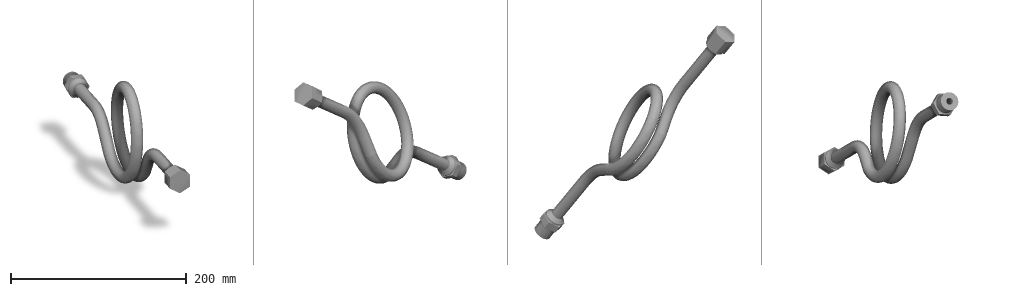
import cadquery as cq
import math

OVERALL_LENGTH = 360.0
COIL_OFFSET = 2.8
MALE_END = -OVERALL_LENGTH / 2 - COIL_OFFSET
FEMALE_END = OVERALL_LENGTH / 2 - COIL_OFFSET

TUBE_DIAMETER = 14.0
COIL_RADIUS = 51.35
COIL_PITCH = 16.0
COIL_TURNS = 1.25
COIL_START_ANGLE = 225.0
BEND_RADIUS = 50.0
LEG_SPACING = 18.97
LEG_Y = LEG_SPACING / 2
TRIM_LENGTH = 5.0
MALE_CORNER_X = -73.7
FEMALE_CORNER_X = 65.6

HEX_FLATS = 24.0
COLLAR_DIAMETER = 23.0
COLLAR_LENGTH = 2.5
CONE_END_DIAMETER = 15.0
CONE_LENGTH = (COLLAR_DIAMETER - CONE_END_DIAMETER) / 2
THREAD_DIAMETER = 20.95
THREAD_LENGTH = 16.0
MALE_HEX_LENGTH = 9.0
MALE_BORE = 8.0
FEMALE_HEX_LENGTH = 20.5

MALE_TUBE_END = MALE_END + THREAD_LENGTH + MALE_HEX_LENGTH + COLLAR_LENGTH + CONE_LENGTH
FEMALE_TUBE_END = FEMALE_END - FEMALE_HEX_LENGTH - COLLAR_LENGTH - CONE_LENGTH


def coil_point(turns):
    """Point on the coil centreline after the given number of turns."""
    angle = math.radians(COIL_START_ANGLE + 360 * turns)
    return cq.Vector(
        COIL_RADIUS * math.cos(angle),
        -LEG_Y + COIL_PITCH * turns,
        COIL_RADIUS * math.sin(angle),
    )


def leg_wire(end, corner, coil_end):
    """Straight run, bend and slanted run from a fitting to just past the coil end."""
    outward = (end - corner).normalized()
    inward = (coil_end - corner).normalized()
    half_angle = outward.getAngle(inward) / 2
    setback = BEND_RADIUS / math.tan(half_angle)
    bisector = (outward + inward).normalized()
    bend_middle = corner + bisector * (BEND_RADIUS / math.sin(half_angle) - BEND_RADIUS)
    bend_start = corner + outward * setback
    bend_end = corner + inward * setback
    run_end = coil_end + inward * TRIM_LENGTH
    return cq.Wire.assembleEdges([
        cq.Edge.makeLine(end, bend_start),
        cq.Edge.makeThreePointArc(bend_start, bend_middle, bend_end),
        cq.Edge.makeLine(bend_end, run_end),
    ])


def round_sweep(path):
    """Tube-sized round rod along a path."""
    start = cq.Plane(origin=path.startPoint(), normal=path.tangentAt(0))
    profile = cq.Workplane(start).circle(TUBE_DIAMETER / 2)
    return profile.sweep(cq.Workplane(path), isFrenet=True)


def coil_path():
    """Left-handed helix climbing along +Y."""
    helix = cq.Wire.makeHelix(
        COIL_PITCH, COIL_PITCH * COIL_TURNS, COIL_RADIUS, lefthand=True
    )
    laid_down = helix.rotate(cq.Vector(), cq.Vector(1, 0, 0), -90)
    turned = laid_down.rotate(cq.Vector(), cq.Vector(0, 1, 0), -COIL_START_ANGLE)
    return turned.translate(cq.Vector(0, -LEG_Y, 0))


def leg_tube(end, corner, turns, into_coil):
    """Leg from a fitting to the coil, cut flush with the coil's end face.

    into_coil is 1 where the coil climbs away from the leg, -1 where it climbs towards it.
    """
    coil_end = coil_point(turns)
    climb = COIL_PITCH / (2 * math.pi)
    along_coil = cq.Vector(-coil_end.z, climb, coil_end.x) * into_coil
    joint_plane = cq.Plane(origin=coil_end, normal=along_coil)
    overshoot = cq.Workplane(joint_plane).circle(TUBE_DIAMETER).extrude(2 * TRIM_LENGTH)
    return round_sweep(leg_wire(end, corner, coil_end)).cut(overshoot)


def male_cylinder(diameter, length):
    """Cylinder from the male end face along +X."""
    end_face = cq.Plane(origin=(MALE_END, -LEG_Y, 0), xDir=(0, 1, 0), normal=(1, 0, 0))
    return cq.Workplane(end_face).circle(diameter / 2).extrude(length)


def hex_prism(start_x, y, length, corner_direction):
    """Hexagon along +X with a corner pointing along corner_direction."""
    plane = cq.Plane(origin=(start_x, y, 0), xDir=corner_direction, normal=(1, 0, 0))
    corners = HEX_FLATS / math.cos(math.radians(30))
    return cq.Workplane(plane).polygon(6, corners).extrude(length)


def weld_collar(hex_face_x, y, direction):
    """Collar and cone from the hexagon's inner face towards the tube, on the side given by direction."""
    collar_end = hex_face_x + direction * COLLAR_LENGTH
    cone_end = collar_end + direction * CONE_LENGTH
    return (
        cq.Workplane("XY", origin=(0, y, 0))
        .moveTo(hex_face_x, 0)
        .lineTo(hex_face_x, COLLAR_DIAMETER / 2)
        .lineTo(collar_end, COLLAR_DIAMETER / 2)
        .lineTo(cone_end, CONE_END_DIAMETER / 2)
        .lineTo(cone_end, 0)
        .close()
        .revolve(360, (0, 0, 0), (1, 0, 0))
    )


def male_fitting():
    """Threaded spigot, hexagon and collar with a blind bore."""
    hex_start = MALE_END + THREAD_LENGTH
    thread = male_cylinder(THREAD_DIAMETER, THREAD_LENGTH)
    hexagon = hex_prism(hex_start, -LEG_Y, MALE_HEX_LENGTH, (0, 1, 0))
    collar = weld_collar(hex_start + MALE_HEX_LENGTH, -LEG_Y, 1)
    bore = male_cylinder(MALE_BORE, MALE_TUBE_END - MALE_END)
    return thread.union(hexagon).union(collar).cut(bore)


def female_fitting():
    """Plain hexagon and collar."""
    hex_start = FEMALE_END - FEMALE_HEX_LENGTH
    hexagon = hex_prism(hex_start, LEG_Y, FEMALE_HEX_LENGTH, (0, 0, 1))
    collar = weld_collar(hex_start, LEG_Y, -1)
    return hexagon.union(collar)


male_leg = leg_tube(
    cq.Vector(MALE_TUBE_END, -LEG_Y, 0),
    cq.Vector(MALE_CORNER_X, -LEG_Y, 0),
    turns=0,
    into_coil=1,
)
female_leg = leg_tube(
    cq.Vector(FEMALE_TUBE_END, LEG_Y, 0),
    cq.Vector(FEMALE_CORNER_X, LEG_Y, 0),
    turns=COIL_TURNS,
    into_coil=-1,
)

result = (
    round_sweep(coil_path())
    .union(male_leg)
    .union(female_leg)
    .union(male_fitting())
    .union(female_fitting())
)